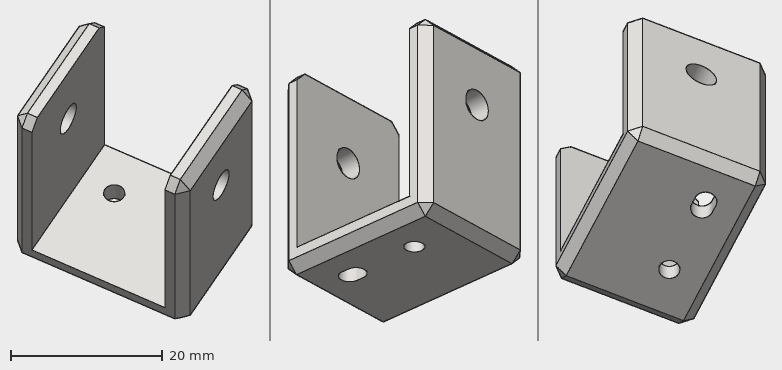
import cadquery as cq

width = 26.0
depth = 20.0
height = 30.0
wall = 3.0
outer_chamfer = 1.5

side_hole_diameter = 4.4
side_hole_height = 20.0

mount_y = 3.5
mount_hole_x = -5.0
mount_hole_diameter = 2.8
slot_x = 6.0
slot_length = 4.1
slot_width = 3.0


def chamfered_block():
    """Solid block standing on Z = 0 with every outer edge chamfered."""
    block = cq.Workplane("XY").box(width, depth, height, centered=(True, True, False))
    return block.edges().chamfer(outer_chamfer)


def channel():
    """Material removed between the side walls, open at the top and both ends."""
    return (
        cq.Workplane("XY", origin=(0, 0, wall))
        .rect(width - 2 * wall, depth)
        .extrude(height - wall)
    )


def side_holes():
    """One cylinder along X that pierces both side walls."""
    return (
        cq.Workplane("YZ")
        .center(0, side_hole_height)
        .circle(side_hole_diameter / 2)
        .extrude(width / 2, both=True)
    )


def floor_openings():
    """Round hole and slot passing through the floor."""
    hole = (
        cq.Workplane("XY")
        .center(mount_hole_x, mount_y)
        .circle(mount_hole_diameter / 2)
        .extrude(wall)
    )
    slot = (
        cq.Workplane("XY")
        .center(slot_x, mount_y)
        .slot2D(slot_length, slot_width)
        .extrude(wall)
    )
    return hole.union(slot)


result = chamfered_block().cut(channel()).cut(side_holes()).cut(floor_openings())